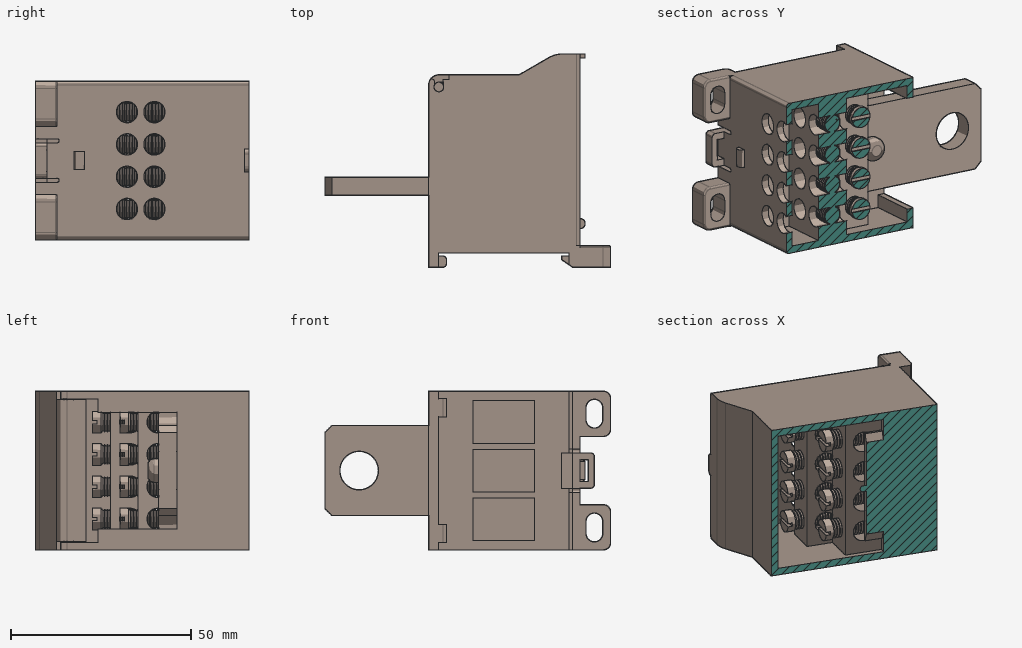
import cadquery as cq
import math


length = 79.2
height = 59.2
width = 44.0
half_width = width / 2

front_x = 28.75
back_x = 70.7
shoulder_y = 53.4
slope_start_x = 53.85
slope_angle = 30.0
crest_radius = 7.9
front_corner_radius = 2.9
back_edge_radius = 1.0
wall = 2.05
cavity_half_width = 19.9
floor_y = 19.95

rail_y = 3.95
rail_start_x = 31.5
rail_end_x = 67.6
foot_chamfer_x = 1.0
foot_chamfer_y = 0.7
hook_length = 2.2
hook_top_y = 3.2
hook_width = 5.1
hook_centre_z = 17.4
hook_radius = 1.0

lug_height = 6.0
lug_inner_z = 9.4
lug_corner_radius = 2.05
lug_top_radius = 0.5
lug_slot_x = 74.7
lug_slot_z = 15.8
lug_slot_length = 7.9
lug_slot_width = 4.6

clip_half_width = 4.9
clip_tip_x = 65.6
clip_tip_y = 2.1
clip_end_x = 74.7
clip_corner_radius = 1.0
clip_gap = 1.1
clip_window_length = 2.2
clip_window_width = 5.95
latch_reach = 1.4
latch_y = 12.1
latch_width = 5.1
lid_tab_width = 6.3
lid_tab_thickness = 1.2
lid_tab_corner_radius = 1.35

pocket_start_x = 41.1
pocket_end_x = 58.1
pocket_height = 11.8
pocket_pitch = 13.5
pocket_depth = 14.25

opening_y = 41.9
window_half_width = 16.15
lip_end_y = 45.2
lip_thickness = 1.0
lip_half_width = 19.65

hinge_x = 31.6
hinge_y = 50.0
hinge_radius = 1.35
hinge_neck_width = 2.4
hinge_pin_recess = 0.15
hinge_shelf_x = 34.45
hinge_shelf_y = 52.0
hinge_jaw_y = 52.2
hinge_jaw_drop = 0.8

bar_top_y = 25.0
bar_half_width = 12.5
bar_chamfer = 2.0
bar_hole_x = 9.5
bar_hole_radius = 5.3
bar_shoulder_radius = 3.65
bar_flange = 0.8
bolt_x = 36.4
bolt_radius = 3.3
bolt_height = 3.0
bolt_dome = 1.75

riser_x = (41.2, 50.7)
block_end_x = 60.2
first_step_y = 30.7
row_rise = 7.6
wire_hole_y = 25.35
wire_hole_radius = 2.9
screw_count = 4
screw_pitch = 8.95
screw_head_radius = 3.0
screw_head_height = 2.3
screw_head_gap = 2.7
screw_neck = 0.6
screw_tail = 8.2
thread_crest_radius = 2.7
thread_root_radius = 2.3
thread_pitch = 0.8
driver_slot_width = 0.95
driver_slot_depth = 1.3


def box(x0, x1, y0, y1, z0, z1):
    """Axis-aligned block between two corners."""
    return cq.Workplane("XY").box(x1 - x0, y1 - y0, z1 - z0, centered=False).translate((x0, y0, z0))


def slab(profile, z0, z1):
    """Closed XY profile extruded from z0 to z1."""
    return profile.extrude(z1 - z0).translate((0, 0, z0))


def rod_y(radius, x, y0, y1, z):
    """Round rod along Y."""
    return cq.Workplane("XZ", origin=(x, y0, z)).circle(radius).extrude(y0 - y1)


def rod_z(radius, x, y, z0, z1):
    """Round rod along Z."""
    return cq.Workplane("XY", origin=(x, y, z0)).circle(radius).extrude(z1 - z0)


def with_mirror(shape):
    """Shape together with its twin on the other side of Z = 0."""
    return shape.union(shape.mirror("XY"))


def lid_outline(inset):
    """XY outline of the housing above its floor, moved inwards by inset."""
    angle = math.radians(slope_angle)
    left = front_x + inset
    right = back_x - inset
    low = shoulder_y - inset
    high = height - inset
    corner = front_corner_radius - inset
    crest = crest_radius - inset
    slope_x = slope_start_x + inset * math.tan(angle / 2)
    ridge_x = slope_x + (high - low) / math.tan(angle)
    tangent = crest * math.tan(angle / 2)
    diagonal = corner * math.sqrt(0.5)
    crest_centre = (ridge_x + tangent, high - crest)
    return (
        cq.Workplane("XY")
        .moveTo(left, floor_y)
        .lineTo(left, low - corner)
        .threePointArc((left + corner - diagonal, low - corner + diagonal), (left + corner, low))
        .lineTo(slope_x, low)
        .lineTo(ridge_x - tangent * math.cos(angle), high - tangent * math.sin(angle))
        .threePointArc(
            (crest_centre[0] - crest * math.sin(angle / 2), crest_centre[1] + crest * math.cos(angle / 2)),
            (crest_centre[0], high),
        )
        .lineTo(right, high)
        .lineTo(right, floor_y)
        .close()
    )


def make_housing():
    shell = slab(lid_outline(0), -half_width, half_width)
    base = box(front_x, back_x, rail_y, floor_y, -half_width, half_width)
    shell = shell.union(base)
    shell = shell.edges("|Y and >X").fillet(back_edge_radius)
    return shell.cut(slab(lid_outline(wall), -cavity_half_width, cavity_half_width))


def cut_front_opening(body):
    opening = box(front_x, front_x + wall, opening_y, lip_end_y, -cavity_half_width, cavity_half_width)
    window = box(front_x, front_x + wall, floor_y, opening_y, -window_half_width, window_half_width)
    gap = box(
        front_x, front_x + front_corner_radius, lip_end_y, shoulder_y, lip_half_width, cavity_half_width
    )
    lip_back = box(
        front_x + lip_thickness, front_x + wall, lip_end_y, shoulder_y - front_corner_radius,
        -lip_half_width, lip_half_width,
    )
    return body.cut(opening).cut(window).cut(with_mirror(gap)).cut(lip_back)


def cut_hinge_notch(body):
    """Open the side walls around the lid corner and leave the hinge pins in place."""
    left_x = hinge_x - hinge_neck_width / 2
    right_x = hinge_x + hinge_neck_width / 2
    neck_y = hinge_y + hinge_radius / 2
    jaw_end_y = hinge_jaw_y - hinge_jaw_drop
    profile = (
        cq.Workplane("XY")
        .moveTo(front_x, jaw_end_y)
        .threePointArc(((front_x + left_x) / 2, hinge_jaw_y), (left_x, jaw_end_y))
        .lineTo(left_x, neck_y)
        .lineTo(right_x, neck_y)
        .lineTo(right_x, hinge_shelf_y)
        .lineTo(hinge_shelf_x, hinge_shelf_y)
        .lineTo(hinge_shelf_x, shoulder_y)
        .lineTo(front_x, shoulder_y)
        .close()
    )
    bearing = rod_z(hinge_radius, hinge_x, hinge_y, lip_half_width, half_width)
    notch = slab(profile, lip_half_width, half_width)
    notch = notch.union(bearing)
    pin = rod_z(hinge_radius, hinge_x, hinge_y, lip_half_width - wall, half_width - hinge_pin_recess)
    return body.cut(with_mirror(notch)).union(with_mirror(pin))


def cut_pockets(body):
    for row in (-1, 0, 1):
        z = row * pocket_pitch
        body = body.cut(
            box(
                pocket_start_x, pocket_end_x, rail_y, rail_y + pocket_depth,
                z - pocket_height / 2, z + pocket_height / 2,
            )
        )
    return body


def make_front_foot():
    foot = box(front_x, rail_start_x, 0, rail_y, -half_width, half_width)
    z0 = hook_centre_z - hook_width / 2
    hook = box(rail_start_x, rail_start_x + hook_length, 0, hook_top_y, z0, z0 + hook_width)
    hook = hook.edges("|Z and >X").fillet(hook_radius)
    return foot.union(with_mirror(hook))


def make_back_foot():
    """Full-width foot with its two slotted mounting lugs."""
    profile = cq.Workplane("XY").polyline([
        (rail_end_x, lug_height),
        (rail_end_x, foot_chamfer_y),
        (rail_end_x + foot_chamfer_x, 0),
        (back_x, 0),
        (back_x, lug_height),
    ]).close()
    foot = slab(profile, -half_width, half_width)
    lug = box(back_x - back_edge_radius, length, 0, lug_height, lug_inner_z, half_width)
    lug = lug.edges("|Y and >X").fillet(lug_corner_radius)
    lug = lug.faces(">Y").edges(">X").fillet(lug_top_radius)
    slot = (
        cq.Workplane("XZ", origin=(lug_slot_x, 0, lug_slot_z))
        .slot2D(lug_slot_length, lug_slot_width, 90)
        .extrude(-lug_height)
    )
    lug = lug.cut(slot)
    return foot.union(with_mirror(lug))


def cut_clip_relief(body):
    """Free the clip arm: a pocket behind its hook and a round-ended gap on each side."""
    arm_x = rail_end_x + foot_chamfer_x
    inner_z = clip_half_width
    outer_z = clip_half_width + clip_gap
    pocket = box(clip_tip_x, arm_x, 0, lug_height, -inner_z, inner_z)
    side = box(rail_end_x, arm_x, 0, hook_top_y, inner_z, outer_z)
    gap = box(arm_x, back_x, 0, lug_height, inner_z, outer_z)
    gap_end = (
        cq.Workplane("YZ", origin=(arm_x, lug_height, (inner_z + outer_z) / 2))
        .circle(clip_gap / 2)
        .extrude(back_x - arm_x)
    )
    return body.cut(pocket).cut(with_mirror(side.union(gap).union(gap_end)))


def make_clip():
    profile = cq.Workplane("XY").polyline([
        (clip_tip_x, hook_top_y),
        (clip_tip_x, clip_tip_y),
        (rail_end_x + foot_chamfer_x, 0),
        (clip_end_x, 0),
        (clip_end_x, hook_top_y),
    ]).close()
    clip = slab(profile, -clip_half_width, clip_half_width)
    clip = clip.edges("|Y and >X").fillet(clip_corner_radius)
    window = box(
        back_x, back_x + clip_window_length, 0, hook_top_y, -clip_window_width / 2, clip_window_width / 2
    )
    return clip.cut(window)


def make_latches():
    """Round bump low on the back wall and a tab on the lid edge above it."""
    bump = rod_z(latch_reach, back_x, latch_y, -latch_width / 2, latch_width / 2)
    tab = box(
        back_x - wall, back_x + latch_reach, height - lid_tab_thickness, height,
        -lid_tab_width / 2, lid_tab_width / 2,
    )
    tab = tab.edges("|Y and >X").fillet(lid_tab_corner_radius)
    return bump.union(tab)


def make_bar():
    """Input bar with a chamfered end, widening to the terminal block inside the housing."""
    bar = box(0, riser_x[0], floor_y, bar_top_y, -bar_half_width, bar_half_width)
    bar = bar.edges("|Y and <X").chamfer(bar_chamfer)
    flange_x = riser_x[0] - bar_flange
    shoulder_x = flange_x - bar_shoulder_radius
    bend = bar_shoulder_radius * math.sqrt(0.5)
    outer_z = bar_half_width + bar_shoulder_radius
    shoulder = (
        cq.Workplane("XZ", origin=(0, floor_y, 0))
        .moveTo(shoulder_x, bar_half_width)
        .threePointArc((shoulder_x + bend, outer_z - bend), (flange_x, outer_z))
        .lineTo(riser_x[0], outer_z)
        .lineTo(riser_x[0], bar_half_width)
        .close()
        .extrude(floor_y - bar_top_y)
    )
    bolt = rod_y(bolt_radius, bolt_x, bar_top_y, bar_top_y + bolt_height, 0)
    bolt = bolt.faces(">Y").edges().fillet(bolt_dome)
    hole = rod_y(bar_hole_radius, bar_hole_x, floor_y, bar_top_y, 0)
    return bar.union(with_mirror(shoulder)).union(bolt).cut(hole)


def make_screw():
    """Slotted clamp screw along Y with its ridged shank ending at Y = 0."""
    ridges = round((screw_tail + screw_head_gap - screw_neck) / thread_pitch)
    neck_y = ridges * thread_pitch
    head_y = neck_y + screw_neck
    top_y = head_y + screw_head_height
    profile = cq.Workplane("XY").lineTo(thread_root_radius, 0)
    for ridge in range(ridges):
        profile = profile.lineTo(thread_crest_radius, (ridge + 0.5) * thread_pitch)
        profile = profile.lineTo(thread_root_radius, (ridge + 1) * thread_pitch)
    profile = (
        profile.lineTo(screw_head_radius, head_y)
        .lineTo(screw_head_radius, top_y)
        .lineTo(0, top_y)
        .close()
    )
    screw = profile.revolve(360, (0, 0, 0), (0, 1, 0))
    slot = box(
        -screw_head_radius, screw_head_radius, top_y - driver_slot_depth, top_y,
        -driver_slot_width / 2, driver_slot_width / 2,
    )
    return screw.cut(slot)


def add_terminal_block(body):
    screw = make_screw()
    columns = [(i - (screw_count - 1) / 2) * screw_pitch for i in range(screw_count)]
    row_spans = ((riser_x[0], riser_x[1]), (riser_x[1], block_end_x))
    for row, (start_x, end_x) in enumerate(row_spans):
        step_y = first_step_y + row * row_rise
        body = body.union(box(start_x, end_x, floor_y, step_y, -cavity_half_width, cavity_half_width))
    for row, (start_x, end_x) in enumerate(row_spans):
        screw_x = (start_x + end_x) / 2
        rise = row * row_rise
        for z in columns:
            hole = (
                cq.Workplane("YZ", origin=(start_x, wire_hole_y + rise, z))
                .circle(wire_hole_radius)
                .extrude(back_x - start_x)
            )
            body = body.cut(hole)
            body = body.union(screw.translate((screw_x, first_step_y + rise - screw_tail, z)))
    return body


body = make_housing()
body = cut_front_opening(body)
body = cut_hinge_notch(body)
body = cut_pockets(body)
body = body.union(make_front_foot()).union(make_back_foot())
body = cut_clip_relief(body)
body = body.union(make_clip()).union(make_latches())
body = add_terminal_block(body)
result = body.union(make_bar())